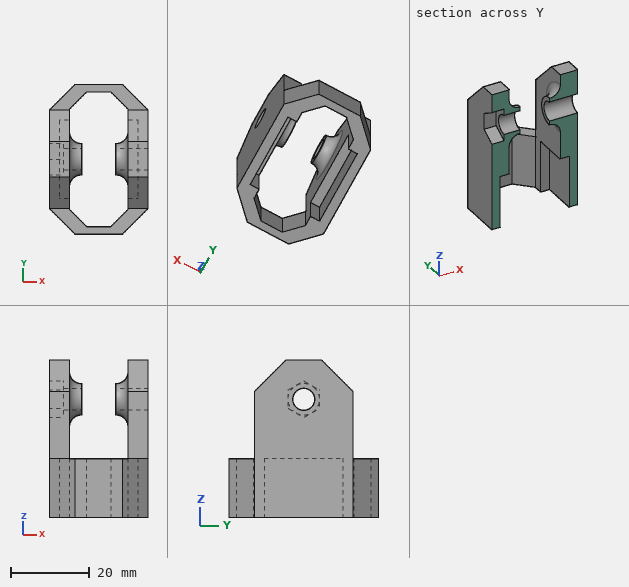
import cadquery as cq
import math

width = 25.0
length = 38.0
height = 40.0
base_height = 15.0
ring_corner = 6.5
opening_width = 14.8
end_wall = 1.95
opening_corner = 4.3

recess_width = 20.0
recess_length = 20.0

cheek_length = length - 2 * ring_corner
cheek_corner = 8.0
cheek_thickness = (width - opening_width) / 2

pivot_height = 30.0
boss_diameter = 8.0
boss_length = 3.1
flare_radius = 3.0
bore_diameter = 5.5
hex_across_flats = 8.0
hex_depth = 3.5


def clipped_box(x_size, y_size, z_size, corner):
    """Box standing on the XY plane with its four upright edges chamfered."""
    return (
        cq.Workplane("XY")
        .box(x_size, y_size, z_size, centered=(True, True, False))
        .edges("|Z")
        .chamfer(corner)
    )


def base_ring():
    outside = clipped_box(width, length, base_height, ring_corner)
    opening = clipped_box(opening_width, length - 2 * end_wall, base_height, opening_corner)
    return outside.cut(opening)


def cheek():
    """Upright plate on the -X side with clipped top corners."""
    return (
        cq.Workplane("XY")
        .box(cheek_thickness, cheek_length, height, centered=(False, True, False))
        .edges("|X and >Z")
        .chamfer(cheek_corner)
        .translate((-width / 2, 0, 0))
    )


def flared_boss():
    """Boss on the inner face of the -X cheek, its foot flared by a concave quarter circle."""
    radius = boss_diameter / 2
    inner_face = -opening_width / 2
    flare_end = inner_face + flare_radius
    tip = inner_face + boss_length
    return (
        cq.Workplane("XY")
        .moveTo(inner_face, 0)
        .lineTo(inner_face, radius + flare_radius)
        .radiusArc((flare_end, radius), -flare_radius)
        .lineTo(tip, radius)
        .lineTo(tip, 0)
        .close()
        .revolve(360, (0, 0, 0), (1, 0, 0))
        .translate((0, 0, pivot_height))
    )


def recess():
    """Block that undercuts the two cheeks and thins the long walls of the base."""
    return cq.Workplane("XY").box(
        recess_width, recess_length, base_height, centered=(True, True, False)
    )


def pivot_bore():
    return (
        cq.Workplane("YZ", origin=(-width / 2, 0, 0))
        .center(0, pivot_height)
        .circle(bore_diameter / 2)
        .extrude(width)
    )


def hex_pocket():
    """Nut pocket in the outer face of the -X cheek, with corners pointing up and down."""
    across_corners = hex_across_flats / math.cos(math.pi / 6)
    return (
        cq.Workplane("YZ", origin=(-width / 2, 0, 0))
        .center(0, pivot_height)
        .transformed(rotate=(0, 0, 90))
        .polygon(6, across_corners)
        .extrude(hex_depth)
    )


cheek_with_boss = cheek().union(flared_boss())
result = (
    base_ring()
    .union(cheek_with_boss)
    .union(cheek_with_boss.mirror("YZ"))
    .cut(recess())
    .cut(pivot_bore())
    .cut(hex_pocket())
)